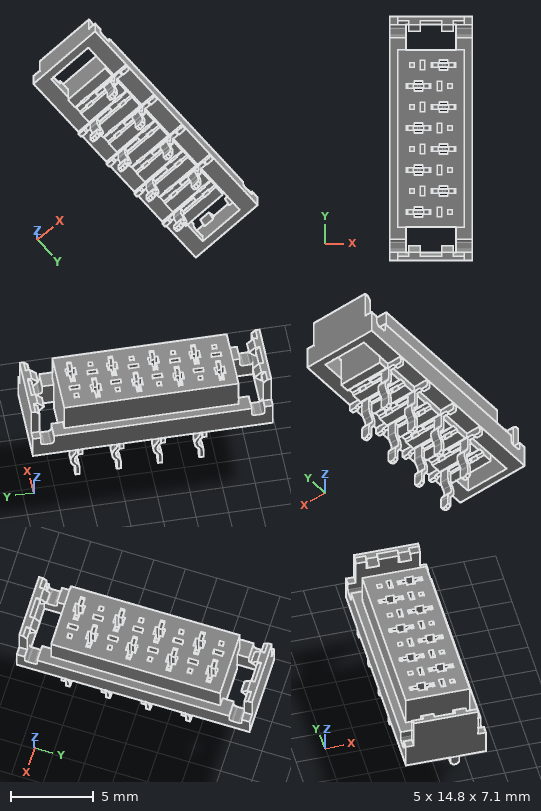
import math

import cadquery as cq


base_width = 5.0
base_length = 14.76
base_height = 1.6
end_wall = 0.5
block_width = 4.0
block_length = 10.72
block_top = 3.5
window_width = 3.0
foot_height = 0.53

groove_width = 0.8
groove_floor = 0.94
groove_fillet = 0.2

wall_chamfer = 0.25
latch_width = 0.71
latch_offset = 1.0
latch_reach = 0.4

contact_pitch = 1.27
contact_count = 8
contact_thickness = 0.25
row_offset = 1.27
pin_width = 0.55
pin_bottom = -3.6
pin_tip_chamfer = 0.18
kink_top = -1.25
kink_bottom = -2.85
kink_shift = 0.31

heel_recess_top = -0.37
heel_outer_length = 0.45
heel_slope = 0.11
heel_corner_fillet = 0.13
heel_pin_fillet = 0.08
heel_inner_end = 0.0

notch_bottom_width = 0.54
notch_top_width = 0.34

key_offset = 0.755
key_length = 1.505
key_window_width = 0.5
key_window_length = 0.6

fork_tip = 3.48
fork_gap_at_tip = 0.1
fork_flank_floor = 0.6
fork_throat_width = 0.66
fork_lead_angle = 47.0
fork_throat_floor = 1.0
fork_throat_fillet = 0.25

slot_offset = -0.51
slot_width = 0.27
slot_length = 0.6
slot_depth = 1.0
small_hole_offset = -1.14
small_hole_width = 0.27
small_hole_shallow = 0.05
small_hole_floor_angle = 75.5


def box(x_size, y_size, z_low, z_high, x=0.0, y=0.0):
    solid = cq.Workplane("XY").box(x_size, y_size, z_high - z_low, centered=(True, True, False))
    return solid.translate((x, y, z_low))


def slab_xz(outline, thickness):
    """Extrude a closed XZ outline evenly about Y = 0."""
    return outline.extrude(thickness / 2, both=True)


def half_turn(shape):
    return shape.rotate((0, 0, 0), (0, 0, 1), 180)


def base_frame():
    frame = box(base_width, base_length, 0, base_height)
    frame = frame.cut(box(window_width, base_length - 2 * end_wall, 0, base_height))
    groove_y = base_length / 2 - end_wall - groove_width / 2
    for side in (-1, 1):
        groove = box(base_width, groove_width, groove_floor, base_height)
        groove = groove.edges("|X and <Z").fillet(groove_fillet)
        frame = frame.cut(groove.translate((0, side * groove_y, 0)))
    return frame


def end_wall_with_latches():
    """Upright wall at the +Y end, with two wedge latches on its inner face."""
    inner_y = base_length / 2 - end_wall
    wall = box(block_width, end_wall, 0, block_top, y=inner_y + end_wall / 2)
    wall = wall.edges("|X and >Z and <Y").chamfer(wall_chamfer)
    for side in (-1, 1):
        latch = (
            cq.Workplane("YZ")
            .moveTo(inner_y + wall_chamfer, block_top)
            .lineTo(inner_y, block_top)
            .lineTo(inner_y - latch_reach, block_top - latch_reach)
            .lineTo(inner_y, block_top - 2 * latch_reach)
            .lineTo(inner_y + wall_chamfer, block_top - 2 * latch_reach)
            .close()
            .extrude(latch_width / 2, both=True)
        )
        wall = wall.union(latch.translate((side * latch_offset, 0, 0)))
    return wall


def contact_block():
    upper = box(block_width, block_length, 0, block_top)
    lower = box(window_width, block_length, -foot_height, 0)
    return upper.union(lower)


def notch():
    return (
        cq.Workplane("YZ")
        .moveTo(-notch_bottom_width / 2, -foot_height)
        .lineTo(-notch_top_width / 2, heel_recess_top)
        .lineTo(notch_top_width / 2, heel_recess_top)
        .lineTo(notch_bottom_width / 2, -foot_height)
        .close()
        .extrude(window_width / 2, both=True)
    )


def fork_clearance():
    """Space left around the contact fork inside the narrow part of the keyhole."""
    half_key = key_length / 2
    half_tip = half_key - fork_gap_at_tip
    half_throat = fork_throat_width / 2
    lead_bottom = fork_tip - (half_tip - half_throat) * math.tan(math.radians(fork_lead_angle))
    outline = (
        cq.Workplane("XZ")
        .moveTo(-half_key, block_top)
        .lineTo(-half_key, fork_flank_floor)
        .lineTo(-half_tip, fork_tip)
        .lineTo(-half_throat, lead_bottom)
        .lineTo(-half_throat, fork_throat_floor)
        .lineTo(half_throat, fork_throat_floor)
        .lineTo(half_throat, lead_bottom)
        .lineTo(half_tip, fork_tip)
        .lineTo(half_key, fork_flank_floor)
        .lineTo(half_key, block_top)
        .close()
    )
    throat_floor_box = cq.selectors.BoxSelector(
        (-half_key, -contact_thickness, fork_throat_floor - fork_throat_fillet),
        (half_key, contact_thickness, fork_throat_floor + fork_throat_fillet),
    )
    clearance = slab_xz(outline, contact_thickness)
    return clearance.edges("|Y").edges(throat_floor_box).fillet(fork_throat_fillet)


def keyhole():
    pocket_length = (key_window_length - contact_thickness) / 2
    pocket_y = (key_window_length - pocket_length) / 2
    opening = fork_clearance()
    for side in (-1, 1):
        opening = opening.union(
            box(key_window_width, pocket_length, -foot_height, block_top, y=side * pocket_y)
        )
    return opening.translate((key_offset, 0, 0))


def small_hole():
    """Square hole whose sloping floor drops toward the middle of the part."""
    outer_x = small_hole_offset - small_hole_width / 2
    inner_x = small_hole_offset + small_hole_width / 2
    high_floor = block_top - small_hole_shallow
    low_floor = high_floor - small_hole_width * math.tan(math.radians(small_hole_floor_angle))
    outline = (
        cq.Workplane("XZ")
        .moveTo(outer_x, block_top)
        .lineTo(outer_x, high_floor)
        .lineTo(inner_x, low_floor)
        .lineTo(inner_x, block_top)
        .close()
    )
    return slab_xz(outline, contact_thickness)


def heel():
    """Flat bar past the pin, with a foot at the side of the base and rounded ends."""
    outer_x = -base_width / 2
    foot_x = outer_x + heel_outer_length
    pin_x = -row_offset - pin_width / 2
    outline = (
        cq.Workplane("XZ")
        .moveTo(outer_x, 0)
        .lineTo(outer_x, -foot_height)
        .lineTo(foot_x, -foot_height)
        .lineTo(foot_x + heel_slope, heel_recess_top)
        .lineTo(pin_x - heel_pin_fillet, heel_recess_top)
        .radiusArc((pin_x, heel_recess_top - heel_pin_fillet), heel_pin_fillet)
        .lineTo(pin_x, -foot_height)
        .lineTo(heel_inner_end, -foot_height)
        .lineTo(heel_inner_end, 0)
        .close()
    )
    bar = slab_xz(outline, contact_thickness).edges("|Y and <X").fillet(heel_corner_fillet)
    return bar.faces(">X").edges("<Z").fillet(heel_corner_fillet)


def kinked_pin():
    """Solder pin with a smooth sideways kink toward +Y made of equal-radius arcs."""
    half_rise = (kink_top - kink_bottom) / 2
    middle_z = (kink_top + kink_bottom) / 2
    radius = (half_rise**2 + kink_shift**2) / (4 * kink_shift)
    bend = 2 * math.atan(kink_shift / half_rise)
    edge = contact_thickness / 2

    def bend_point(side, angle, end):
        """Point on an outer bend; end is +1 above the kink and -1 below it."""
        arc_radius = radius - side
        y = radius - arc_radius * math.cos(angle)
        return y, middle_z + end * (half_rise - arc_radius * math.sin(angle))

    profile = (
        cq.Workplane("YZ")
        .moveTo(-edge, 0)
        .lineTo(*bend_point(-edge, 0, 1))
        .threePointArc(bend_point(-edge, bend / 2, 1), bend_point(-edge, bend, 1))
        .threePointArc((kink_shift - edge, middle_z), bend_point(-edge, bend, -1))
        .threePointArc(bend_point(-edge, bend / 2, -1), bend_point(-edge, 0, -1))
        .lineTo(-edge, pin_bottom)
        .lineTo(edge, pin_bottom)
        .lineTo(*bend_point(edge, 0, -1))
        .threePointArc(bend_point(edge, bend / 2, -1), bend_point(edge, bend, -1))
        .threePointArc((kink_shift + edge, middle_z), bend_point(edge, bend, 1))
        .threePointArc(bend_point(edge, bend / 2, 1), bend_point(edge, 0, 1))
        .lineTo(edge, 0)
        .close()
    )
    pin = profile.extrude(pin_width / 2, both=True)
    pin = pin.faces("<Z").edges("|Y").chamfer(pin_tip_chamfer)
    return pin.translate((-row_offset, 0, 0))


def place_contacts(shape):
    """Copies of one contact feature: every other position, then a half turn for the rest."""
    first_y = (contact_count - 1) / 2 * contact_pitch
    copies = []
    for index in range(contact_count // 2):
        copy = shape.translate((0, first_y - 2 * index * contact_pitch, 0))
        copies.append(copy)
        copies.append(half_turn(copy))
    return copies


end = end_wall_with_latches()
housing = base_frame().union(contact_block())
housing = housing.union(end).union(half_turn(end))

slot = box(slot_width, slot_length, block_top - slot_depth, block_top, x=slot_offset)
for cutter in (notch(), keyhole(), slot, small_hole()):
    for copy in place_contacts(cutter):
        housing = housing.cut(copy)

contact = heel().union(kinked_pin())
for copy in place_contacts(contact):
    housing = housing.union(copy)

result = housing